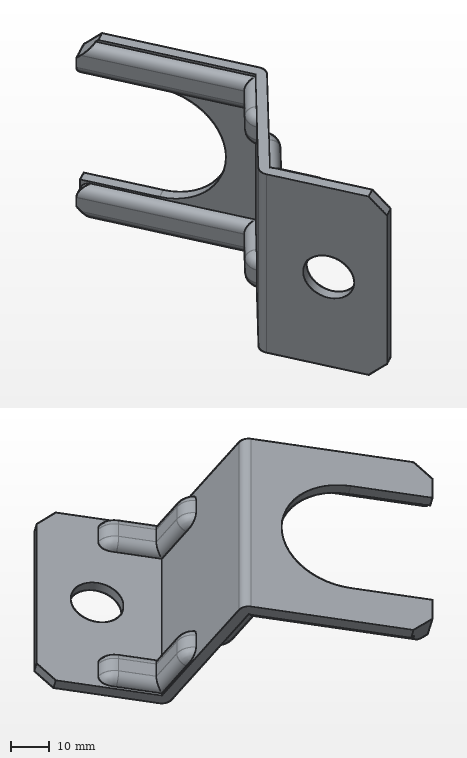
import cadquery as cq
import math

length = 97.0
step_depth = 40.5
width = 60.0
thickness = 3.0
web_angle = 70.0
fork_bend_x = 48.1
corner_chamfer = 5.0

slot_width = 36.5
slot_end_x = 40.0
hole_diameter = 14.0
hole_x = 81.0

rib_height = 3.0
rib_flat_width = 4.4
rib_edge_inset = 0.8
rib_straight_length = 12.1
rib_end_radius = 5.2

cos_web = math.cos(math.radians(web_angle))
sin_web = math.sin(math.radians(web_angle))
rib_width = rib_flat_width + 2 * rib_height
rib_center_z = width / 2 - rib_edge_inset - rib_width / 2
rib_sink = rib_end_radius - rib_height
bend_overlap = rib_height / math.tan(math.radians(web_angle))

fork_bend = (fork_bend_x, -thickness)
drilled_face_y = thickness - step_depth
web_back_drop = fork_bend[1] + thickness * cos_web - drilled_face_y
drilled_bend = (
    fork_bend_x + thickness * sin_web + web_back_drop * cos_web / sin_web,
    drilled_face_y,
)


def bend_point(center, angle):
    """Point on the outer arc of a bend, at an angle in degrees from +X."""
    turn = math.radians(angle)
    return (center[0] + thickness * math.cos(turn), center[1] + thickness * math.sin(turn))


def bent_plate():
    web_normal = 90 - web_angle
    half_turn = web_angle / 2
    return (
        cq.Workplane("XY", origin=(0, 0, -width / 2))
        .moveTo(0, 0)
        .lineTo(*bend_point(fork_bend, 90))
        .threePointArc(bend_point(fork_bend, 90 - half_turn), bend_point(fork_bend, web_normal))
        .lineTo(*drilled_bend)
        .lineTo(length, drilled_face_y)
        .lineTo(length, -step_depth)
        .lineTo(*bend_point(drilled_bend, 270))
        .threePointArc(bend_point(drilled_bend, 270 - half_turn), bend_point(drilled_bend, 180 + web_normal))
        .lineTo(*fork_bend)
        .lineTo(0, -thickness)
        .close()
        .extrude(width)
    )


def rib_section():
    """Rib section in YZ: rounded shoulders above the sheet, a root sunk into it."""
    half = rib_width / 2
    flat = rib_flat_width / 2
    shoulder = rib_height * math.sqrt(0.5)
    return (
        cq.Workplane("YZ")
        .moveTo(-half, -rib_sink)
        .lineTo(-half, 0)
        .threePointArc((-flat - shoulder, shoulder), (-flat, rib_height))
        .lineTo(flat, rib_height)
        .threePointArc((flat + shoulder, shoulder), (half, 0))
        .lineTo(half, -rib_sink)
        .close()
    )


def rib(run, has_rounded_end):
    """Rib along +X, rising in +Z, reaching slightly past the bend at x = 0."""
    body = rib_section().extrude(run + bend_overlap).translate((-bend_overlap, 0, 0))
    if has_rounded_end:
        end = rib_section().revolve(90, (0, -rib_sink, 0), (1, -rib_sink, 0))
        body = body.union(end.translate((run, 0, 0)))
    return body


def place(body, bend, z, direction, normal):
    plane = cq.Plane((bend[0], bend[1], z), (*direction, 0), (*normal, 0))
    return body.val().located(cq.Location(plane))


def tip_trim(side):
    """Waste outside the rounded slot-side corner at the free end of a fork rib."""
    flat_edge_z = side * (rib_center_z - rib_flat_width / 2)
    block = (
        cq.Workplane("XZ", origin=(0, -thickness, 0))
        .center(rib_height / 2, flat_edge_z - side * rib_height / 2)
        .rect(rib_height, rib_height)
        .extrude(rib_height)
    )
    round_corner = (
        cq.Workplane("XZ", origin=(0, -thickness, 0))
        .center(rib_height, flat_edge_z)
        .circle(rib_height)
        .extrude(rib_height)
    )
    return block.cut(round_corner)


plate = bent_plate()
short_rib = rib(rib_straight_length, True)
fork_rib = rib(fork_bend_x, False)
for side in (-1, 1):
    z = side * rib_center_z
    plate = plate.union(place(fork_rib, fork_bend, z, (-1, 0), (0, -1)))
    plate = plate.union(place(short_rib, fork_bend, z, (cos_web, -sin_web), (-sin_web, -cos_web)))
    plate = plate.union(place(short_rib, drilled_bend, z, (-cos_web, sin_web), (sin_web, cos_web)))
    plate = plate.union(place(short_rib, drilled_bend, z, (1, 0), (0, 1)))
    plate = plate.cut(tip_trim(side))

slot_radius = slot_width / 2
slot_straight = slot_end_x - slot_radius
slot = (
    cq.Workplane("XZ")
    .moveTo(0, -slot_radius)
    .lineTo(slot_straight, -slot_radius)
    .threePointArc((slot_end_x, 0), (slot_straight, slot_radius))
    .lineTo(0, slot_radius)
    .close()
    .extrude(thickness)
)

hole = (
    cq.Workplane("XZ")
    .center(hole_x, 0)
    .circle(hole_diameter / 2)
    .extrude(step_depth)
)

chamfered_outline = (
    cq.Workplane("XZ")
    .center(length / 2, 0)
    .rect(length, width)
    .extrude(step_depth)
    .edges("|Y")
    .chamfer(corner_chamfer)
)

result = plate.cut(slot).cut(hole).intersect(chamfered_outline)